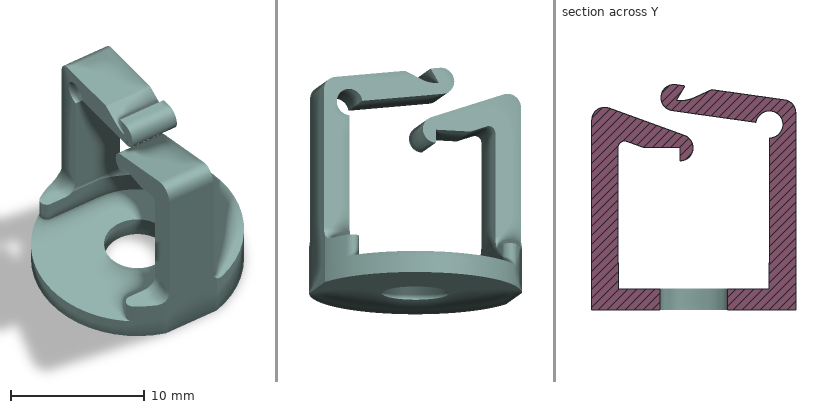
import cadquery as cq
import math

height = 16.96
width = 15.35
disc_diameter = 16.0
disc_radius = disc_diameter / 2
base_height = 3.24
floor_height = 1.61
recess_radius = 5.61
pad_end_radius = 0.55
hole_radius = 2.51

leg_thickness = 2.0
strap_width = 3.88
side_fillet = 1.0
inner_fillet = 0.5
round_radius = leg_thickness / 2
outer_x = width / 2
inner_x = outer_x - leg_thickness
corner_x = outer_x - round_radius

left_angle = math.radians(8)
hinge_radius = 1.0
left_tip_u = 7.36
pocket_start_u = 4.65
pocket_bend = (5.73, 1.3)
pocket_middle = (6.36, 0.98)
pocket_end = (7.14, 0.85)
barb_u = 6.65

right_angle = math.radians(20)
right_corner_z = 14.25
right_tip_x = 1.03

hinge_z = (
    height - round_radius - left_tip_u * math.sin(left_angle) - round_radius * math.cos(left_angle)
)


def arm_point(u, v):
    """Turn left-arm coordinates into X, Z."""
    return (
        -inner_x + u * math.cos(left_angle) - v * math.sin(left_angle),
        hinge_z + u * math.sin(left_angle) + v * math.cos(left_angle),
    )


def polar(center, radius, angle):
    return (center[0] + radius * math.cos(angle), center[1] + radius * math.sin(angle))


def box_between(x_range, y_range, z_range):
    lengths = [end - start for start, end in (x_range, y_range, z_range)]
    return cq.Workplane("XY").box(*lengths, centered=False).translate((x_range[0], y_range[0], z_range[0]))


def extrude_profile(sketch):
    """Extrude an XZ outline symmetrically about Y = 0."""
    return sketch.close().extrude(disc_radius, both=True)


def left_hook():
    corner_u = (inner_x - corner_x + round_radius * math.sin(left_angle)) / math.cos(left_angle)
    corner = arm_point(corner_u, round_radius)
    corner_mid_angle = (math.pi + math.pi / 2 + left_angle) / 2
    hinge = (-inner_x, hinge_z)
    return extrude_profile(
        cq.Workplane("XZ")
        .moveTo(-outer_x, 0)
        .lineTo(-outer_x, corner[1])
        .threePointArc(polar(corner, round_radius, corner_mid_angle), arm_point(corner_u, leg_thickness))
        .lineTo(*arm_point(pocket_start_u, leg_thickness))
        .lineTo(*arm_point(*pocket_bend))
        .threePointArc(arm_point(*pocket_middle), arm_point(*pocket_end))
        .lineTo(*arm_point(barb_u, leg_thickness))
        .lineTo(*arm_point(left_tip_u, leg_thickness))
        .threePointArc(arm_point(left_tip_u + round_radius, round_radius), arm_point(left_tip_u, 0))
        .lineTo(*arm_point(hinge_radius, 0))
        .threePointArc(polar(hinge, hinge_radius, 3 * math.pi / 4), (-inner_x, hinge_z - hinge_radius))
        .lineTo(-inner_x, 0)
    )


def right_hook():
    tip_z = right_corner_z - (corner_x - right_tip_x) * math.tan(right_angle)
    tip = (right_tip_x, tip_z)
    corner = (corner_x, right_corner_z)
    inner_corner = (inner_x - inner_fillet, tip_z)
    slope_normal = math.pi / 2 + right_angle
    ledge_end_x = inner_corner[0] - inner_fillet / math.sin(right_angle)
    return extrude_profile(
        cq.Workplane("XZ")
        .moveTo(outer_x, 0)
        .lineTo(outer_x, right_corner_z)
        .threePointArc(
            polar(corner, round_radius, slope_normal / 2),
            polar(corner, round_radius, slope_normal),
        )
        .lineTo(*polar(tip, round_radius, slope_normal))
        .threePointArc(polar(tip, round_radius, math.pi), (right_tip_x, tip_z - round_radius))
        .lineTo(right_tip_x, tip_z)
        .lineTo(ledge_end_x, tip_z)
        .lineTo(*polar(inner_corner, inner_fillet, slope_normal))
        .threePointArc(
            polar(inner_corner, inner_fillet, slope_normal / 2),
            (inner_x, tip_z),
        )
        .lineTo(inner_x, 0)
    )


def inner_foot(side):
    """Fillet between the inner face of a leg and the top of the base."""
    center = (side * (inner_x - inner_fillet), base_height + inner_fillet)
    middle_angle = -math.pi / 4 if side > 0 else -3 * math.pi / 4
    return extrude_profile(
        cq.Workplane("XZ")
        .moveTo(side * inner_x, center[1])
        .threePointArc(polar(center, inner_fillet, middle_angle), (center[0], base_height))
        .lineTo(center[0], 0)
        .lineTo(side * inner_x, 0)
    )


def strap_envelope():
    """Strap seen along X, flaring into the base with a fillet on each side."""
    half = strap_width / 2
    foot = half + side_fillet
    fillet_top = base_height + side_fillet
    return (
        cq.Workplane("YZ")
        .moveTo(-foot, 0)
        .lineTo(-foot, base_height)
        .threePointArc(
            polar((-foot, fillet_top), side_fillet, -math.pi / 4),
            (-half, fillet_top),
        )
        .lineTo(-half, height)
        .lineTo(half, height)
        .lineTo(half, fillet_top)
        .threePointArc(
            polar((foot, fillet_top), side_fillet, -3 * math.pi / 4),
            (foot, base_height),
        )
        .lineTo(foot, 0)
        .close()
        .extrude(disc_radius, both=True)
    )


def recess():
    """Round pocket, widened to a straight channel that opens through the -Y rim.

    The pads left beside the channel have round ends tangent to the channel and to the disc rim.
    """
    cut_top = base_height + inner_fillet
    z_range = (floor_height, cut_top)
    floor = cq.Workplane("XY").workplane(offset=floor_height)
    pad_end_x = recess_radius + pad_end_radius
    pad_end_y = -math.sqrt((disc_radius - pad_end_radius) ** 2 - pad_end_x**2)
    rim_direction = math.atan2(pad_end_y, pad_end_x)
    tangent_x, tangent_y = polar((0, 0), disc_radius, rim_direction)

    round_pocket = floor.circle(recess_radius).extrude(cut_top - floor_height)
    channel = box_between((-recess_radius, recess_radius), (pad_end_y, 0), z_range)
    opening = (
        floor.moveTo(-recess_radius, pad_end_y)
        .threePointArc(
            polar((-pad_end_x, pad_end_y), pad_end_radius, -(math.pi + rim_direction) / 2),
            (-tangent_x, tangent_y),
        )
        .lineTo(-tangent_x, -disc_radius)
        .lineTo(tangent_x, -disc_radius)
        .lineTo(tangent_x, tangent_y)
        .threePointArc(
            polar((pad_end_x, pad_end_y), pad_end_radius, (rim_direction - math.pi) / 2),
            (recess_radius, pad_end_y),
        )
        .close()
        .extrude(cut_top - floor_height)
    )
    return round_pocket.union(channel).union(opening)


base = cq.Workplane("XY").circle(disc_radius).extrude(base_height)
hooks = left_hook().union(right_hook()).union(inner_foot(-1)).union(inner_foot(1))
outer_limit = (
    cq.Workplane("XY")
    .circle(disc_radius)
    .extrude(height)
    .intersect(box_between((-outer_x, outer_x), (-disc_radius, disc_radius), (0, height)))
)

result = (
    base.union(hooks.intersect(strap_envelope()))
    .intersect(outer_limit)
    .cut(recess())
    .cut(cq.Workplane("XY").circle(hole_radius).extrude(base_height))
)